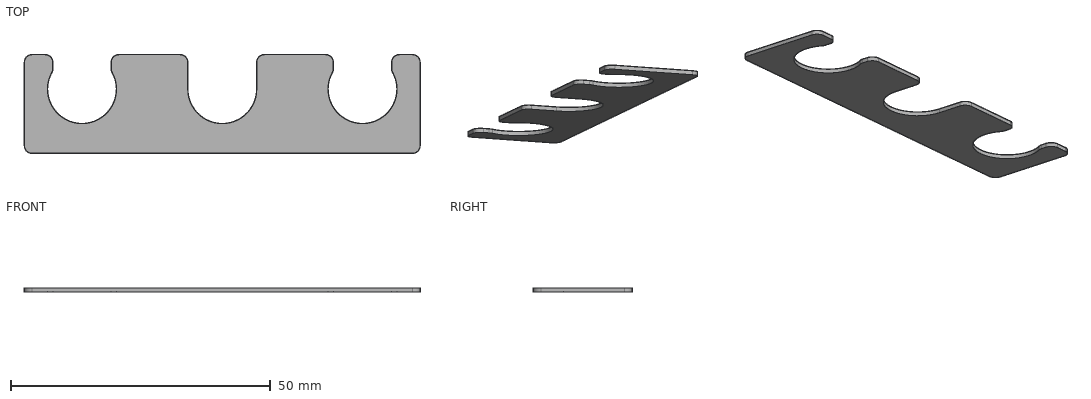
import cadquery as cq
import math

LENGTH = 76.2
WIDTH = 19.05
THICKNESS = 0.8128
CORNER_RADIUS = 1.524

NOTCH_PITCH = 26.9875
NOTCH_RADIUS = 6.604
NOTCH_CENTER_DEPTH = 6.6675
OUTER_MOUTH_WIDTH = 11.176
MIDDLE_MOUTH_WIDTH = 2 * NOTCH_RADIUS

TOP_EDGE_Y = WIDTH / 2
NOTCH_CENTER_Y = TOP_EDGE_Y - NOTCH_CENTER_DEPTH


def make_plate():
    """Rectangular plate centred in X and Y, resting on Z = 0."""
    return cq.Workplane("XY").box(LENGTH, WIDTH, THICKNESS, centered=(True, True, False))


def make_notch(center_x, mouth_width):
    """Cutter for one notch: a round hole with a straight mouth to the +Y edge."""
    hole = cq.Workplane("XY").center(center_x, NOTCH_CENTER_Y).circle(NOTCH_RADIUS).extrude(THICKNESS)
    mouth = (
        cq.Workplane("XY")
        .center(center_x, NOTCH_CENTER_Y + NOTCH_CENTER_DEPTH / 2)
        .rect(mouth_width, NOTCH_CENTER_DEPTH)
        .extrude(THICKNESS)
    )
    return hole.union(mouth)


def round_edges_at(body, x, y):
    """Round the upright edges at (+x, y) and (-x, y)."""
    half_reach = CORNER_RADIUS / 2
    for side in (-1, 1):
        selector = cq.selectors.BoxSelector(
            (side * x - half_reach, y - half_reach, 0),
            (side * x + half_reach, y + half_reach, THICKNESS),
        )
        body = body.edges("|Z").edges(selector).fillet(CORNER_RADIUS)
    return body


plate = make_plate()
plate = plate.cut(make_notch(0, MIDDLE_MOUTH_WIDTH))
for side in (-1, 1):
    plate = plate.cut(make_notch(side * NOTCH_PITCH, OUTER_MOUTH_WIDTH))

half_mouth = OUTER_MOUTH_WIDTH / 2
lip_y = NOTCH_CENTER_Y + math.sqrt(NOTCH_RADIUS**2 - half_mouth**2)

for edge_y in (-TOP_EDGE_Y, TOP_EDGE_Y):
    plate = round_edges_at(plate, LENGTH / 2, edge_y)
plate = round_edges_at(plate, MIDDLE_MOUTH_WIDTH / 2, TOP_EDGE_Y)
for mouth_side_x in (NOTCH_PITCH - half_mouth, NOTCH_PITCH + half_mouth):
    plate = round_edges_at(plate, mouth_side_x, TOP_EDGE_Y)
    plate = round_edges_at(plate, mouth_side_x, lip_y)

result = plate